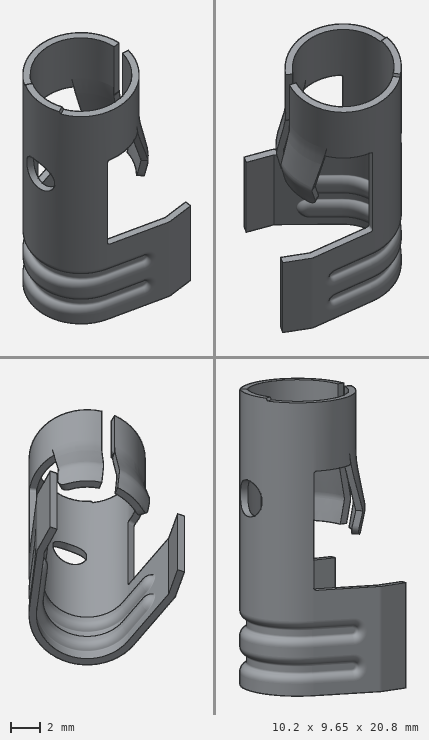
import cadquery as cq
import math

wall = 0.508
outer_radius = 3.985
inner_radius = outer_radius - wall
overall_width = 10.16
overall_depth = 9.65
overall_height = 20.75

clip_top = 7.38
ring_bottom = 15.73
ring_top = 20.56

wing_angle = 15.0
tip_angle = 4.0
corner_fillet = 0.2

bead_levels = (1.78, 4.31)
bead_depth = 0.46
bead_flat = 0.2
bead_slope = 65.0
bead_floor_radius = 0.2
groove_end_y = 1.74
rib_end_y = 1.15
bead_overlap = 0.1

hole_level = 13.45
hole_radius = 1.27

stop_base_angle = 27.7
stop_top_angle = 25.7

gap_angle = 6.8
tab_root_gap = 0.47
tab_end_gap = 0.58
tab_root_angle = 58.0
tab_knee_angle = 46.8
tab_end_angle = 50.0
tab_root = 16.5
tab_straight = 14.9
tab_knee = 12.4
tab_end = 10.66
tab_flare = 11.2
tab_knee_radius = 1.5
tab_end_fillet = 0.6

reach = 8.0


def polar(radius, angle):
    """Point at a radius, with the angle in degrees counted from +X."""
    return (radius * math.cos(math.radians(angle)), radius * math.sin(math.radians(angle)))


def both_sides(half):
    return half.union(half.mirror("YZ"))


def tube(bottom, top):
    section = cq.Workplane("XY", origin=(0, 0, bottom)).circle(outer_radius).circle(inner_radius)
    return section.extrude(top - bottom)


def wedge(bottom, bottom_angles, top, top_angles):
    """Wedge from the axis outward whose two side angles change evenly with height."""
    lower = [(0, 0)] + [polar(reach, angle) for angle in bottom_angles]
    upper = [(0, 0)] + [polar(reach, angle) for angle in top_angles]
    return (
        cq.Workplane("XY", origin=(0, 0, bottom)).polyline(lower).close()
        .workplane(offset=top - bottom).polyline(upper).close().loft(ruled=True)
    )


def wing():
    """Straight wing with a bent tip on the +X side, tangent to the half tube."""
    tip_y = overall_depth - outer_radius
    corner_x = overall_width / 2 - wall
    inner_start = polar(inner_radius, -wing_angle)
    corner_y = inner_start[1] + (corner_x - inner_start[0]) / math.tan(math.radians(wing_angle))
    tip_x = corner_x - (tip_y - corner_y) * math.tan(math.radians(tip_angle))
    tip_width = wall / math.cos(math.radians(tip_angle))
    bend_start = polar(wall, -wing_angle)
    bend_end = polar(wall, tip_angle)
    return (
        cq.Workplane("XY")
        .moveTo(*polar(outer_radius, -wing_angle))
        .lineTo(corner_x + bend_start[0], corner_y + bend_start[1])
        .threePointArc((corner_x + wall, corner_y), (corner_x + bend_end[0], corner_y + bend_end[1]))
        .lineTo(tip_x + tip_width, tip_y)
        .lineTo(tip_x, tip_y)
        .lineTo(corner_x, corner_y)
        .lineTo(*inner_start)
        .close()
        .extrude(clip_top)
    )


def spine():
    """Tube cut back to its front half, with radial edges, everywhere below the ring."""
    body = tube(0, ring_top)
    window = [(0, 0)] + [polar(reach, angle) for angle in (-wing_angle, 90, 180 + wing_angle)]
    return body.cut(cq.Workplane("XY").polyline(window).close().extrude(ring_bottom))


def bead_section(plane, face_radius, entry_radius, floor_radius):
    """Half of a bead section; local x is the radius from the tube axis, local y is along the bead width."""
    slope = math.radians(bead_slope)
    floor = face_radius - bead_depth
    flank = bead_flat + floor_radius * math.sin(slope)
    edge = flank + entry_radius * math.sin(slope)
    half_slope = slope / 2
    floor_middle = (
        floor + floor_radius * (1 - math.cos(half_slope)),
        bead_flat + floor_radius * math.sin(half_slope),
    )
    floor_end = (floor + floor_radius * (1 - math.cos(slope)), flank)
    entry_middle = (
        face_radius - entry_radius * (1 - math.cos(half_slope)),
        edge - entry_radius * math.sin(half_slope),
    )
    return (
        cq.Workplane(plane)
        .moveTo(floor, 0)
        .lineTo(floor, bead_flat)
        .threePointArc(floor_middle, floor_end)
        .threePointArc(entry_middle, (face_radius, edge))
        .lineTo(face_radius + bead_overlap, edge)
        .lineTo(face_radius + bead_overlap, 0)
        .close()
    )


def bead(level, end_y, face_radius, entry_radius, floor_radius):
    """Bead around the front arc and along both wings, with round ends."""
    sizes = (face_radius, entry_radius, floor_radius)
    center = cq.Vector(0, 0, level)
    normal = cq.Vector(*polar(1, -wing_angle), 0)
    along_wing = cq.Vector(*polar(1, 90 - wing_angle), 0)
    face_start_y = polar(outer_radius, -wing_angle)[1]
    length = (end_y - face_start_y) / math.cos(math.radians(wing_angle))

    wing_plane = cq.Plane(center, normal, -along_wing)
    arc = bead_section(wing_plane, *sizes).revolve(90 - wing_angle, (0, 0), (0, -1))
    straight = bead_section(wing_plane, *sizes).extrude(-length)
    end_plane = cq.Plane(center + along_wing * length, normal, -along_wing)
    end = bead_section(end_plane, *sizes).revolve(360, (0, 0), (1, 0))
    upper = arc.union(straight)
    lower = upper.mirror("XY", (0, 0, level))
    return both_sides(upper.union(lower).union(end))


def add_beads(body):
    floor_sum = bead_depth / (1 - math.cos(math.radians(bead_slope)))
    entry_outside = floor_sum - bead_floor_radius
    for level in bead_levels:
        rib = bead(level, rib_end_y, inner_radius, entry_outside - wall, bead_floor_radius + wall)
        groove = bead(level, groove_end_y, outer_radius, entry_outside, bead_floor_radius)
        body = body.union(rib).cut(groove)
    return body


def hole_cutter():
    """Hole with radial sides, so it widens away from the axis."""
    spread = math.tan(hole_radius / inner_radius)
    near = inner_radius - 2 * wall
    far = outer_radius + wall
    return (
        cq.Workplane("XZ", origin=(0, -near, hole_level)).ellipse(near * spread, hole_radius)
        .workplane(offset=far - near).ellipse(far * spread, hole_radius).loft(ruled=True)
    )


def ring_stop():
    base = (270 - stop_base_angle, 270 + stop_base_angle)
    top = (270 - stop_top_angle, 270 + stop_top_angle)
    return tube(ring_top, overall_height).intersect(wedge(ring_top, base, overall_height, top))


def tab_outline(gap, angle):
    """Region of the +X tab at one level, from the edge of the gap to the radial outer side."""
    return [(0, 0), (gap, inner_radius / 2), (gap, reach), polar(reach, 90 - angle)]


def tab_space():
    """Region of the +X tab over its whole height."""
    return (
        cq.Workplane("XY", origin=(0, 0, tab_end))
        .polyline(tab_outline(tab_end_gap, tab_end_angle)).close()
        .workplane(offset=tab_knee - tab_end)
        .polyline(tab_outline(tab_end_gap, tab_knee_angle)).close()
        .workplane(offset=tab_root - tab_knee)
        .polyline(tab_outline(tab_root_gap, tab_root_angle)).close()
        .loft(ruled=True)
    )


def spring_tab():
    """Tab flaring out of the ring wall, then bent back in at the knee."""
    flare = math.radians(tab_flare)
    flare_radius = (tab_root - tab_straight) / math.sin(flare)
    middle_shift = flare_radius * (1 - math.cos(flare / 2))
    middle = tab_root - flare_radius * math.sin(flare / 2)
    straight_shift = flare_radius * (1 - math.cos(flare))
    corner_shift = straight_shift + (tab_straight - tab_knee) * math.tan(flare)
    end_shift = corner_shift - (tab_knee - tab_end) * math.tan(flare)
    knee_center = outer_radius + corner_shift - tab_knee_radius / math.cos(flare)
    inner_knee_radius = tab_knee_radius - wall * math.cos(flare)

    def knee_point(radius, angle):
        return (knee_center + radius * math.cos(angle), tab_knee + radius * math.sin(angle))

    strip = (
        cq.Workplane("XZ")
        .moveTo(inner_radius, tab_root)
        .threePointArc((inner_radius + middle_shift, middle), (inner_radius + straight_shift, tab_straight))
        .lineTo(*knee_point(inner_knee_radius, flare))
        .threePointArc(knee_point(inner_knee_radius, 0), knee_point(inner_knee_radius, -flare))
        .lineTo(inner_radius + end_shift, tab_end)
        .lineTo(outer_radius + end_shift, tab_end)
        .lineTo(*knee_point(tab_knee_radius, -flare))
        .threePointArc(knee_point(tab_knee_radius, 0), knee_point(tab_knee_radius, flare))
        .lineTo(outer_radius + straight_shift, tab_straight)
        .threePointArc((outer_radius + middle_shift, middle), (outer_radius, tab_root))
        .close()
        .revolve(360, (0, 0), (0, 1))
    )
    tab = strip.intersect(tab_space())
    return tab.faces("<Z").edges(">X").fillet(tab_end_fillet)


def add_ring_features(body):
    """Gap, spring tabs and stop of the ring."""
    gap = (90 - gap_angle, 90 + gap_angle)
    body = body.cut(wedge(ring_bottom, gap, ring_top, gap))
    body = body.cut(both_sides(tab_space()))
    return body.union(both_sides(spring_tab())).union(ring_stop())


def soften_corners(body):
    """Fillet the inside corners at both ends of the half tube."""
    middle = (inner_radius + outer_radius) / 2
    corner_x, corner_y = polar(middle, -wing_angle)
    for x in (-corner_x, corner_x):
        for z in (clip_top, ring_bottom):
            corner = cq.selectors.NearestToPointSelector((x, corner_y, z))
            body = body.edges(corner).fillet(corner_fillet)
    return body


frame = spine().cut(hole_cutter()).union(both_sides(wing()))
result = add_beads(soften_corners(add_ring_features(frame)))